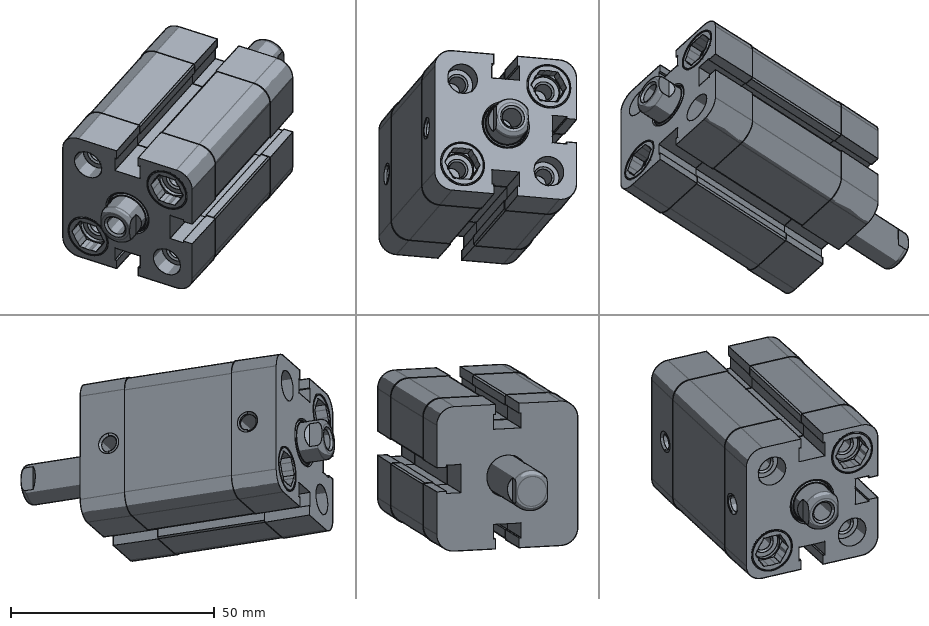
import cadquery as cq
import math


rod_length = 80.1
front_protrusion = 6.3
cap_length = 11.85
barrel_length = 28.4
front_tip = -rod_length / 2
front_face = front_tip + front_protrusion
barrel_front = front_face + cap_length
barrel_rear = barrel_front + barrel_length
rear_face = barrel_rear + cap_length

cap_joint_width = 36.3
cap_end_width = 36.05
cap_flat_width = 27.2
barrel_width = 36.05
barrel_corner_radius = 4.6

cap_slot_floor = 11.85
barrel_slot_floor = 12.0
slot_lip = 15.5
slot_undercut_width = 7.05
cap_slot_mouth = 6.0
barrel_slot_mouth = 5.7
barrel_mouth_bevel = 0.4
slot_angles = (0, 90, 180)

rod_diameter = 10.0
tip_fillet = 1.3
wrench_flat_width = 8.0
wrench_flat_length = 3.3
flat_runout = (rod_diameter - wrench_flat_width) / 2
rod_thread_diameter = 4.9
rod_thread_mouth = 6.0
rod_thread_depth = 9.6

rod_bore = 10.5
wiper_diameter = 11.4
wiper_length = 2.4
lip_diameter = 11.1
lip_face_diameter = 10.5
lip_height = (lip_diameter - lip_face_diameter) / 2
wiper_mouth = 12.0

port_diameter = 4.2
port_mouth = 5.4
port_inset = 7.6

corner_offset = 11.0
corner_bore = 7.5
corner_bore_depth = 4.5
thread_diameter = 4.2
thread_mouth = 5.1
thread_end_depth = 10.4
plain_corners = ((-1, 1), (1, -1))
screw_corners = ((-1, -1), (1, 1))

groove_diameter = 11.1
head_diameter = 10.5
socket_width = 7.8
socket_diameter = 8.0
socket_depth = 3.45
hexagon_diameter = socket_width / math.cos(math.pi / 6)


def section_at(y):
    """Sketch plane across the rod axis with local axes X and Z; it extrudes towards -Y."""
    return cq.Workplane("XZ", origin=(0, y, 0))


def disc(diameter, y_start, length, x=0.0, z=0.0):
    """Cylinder along Y running from y_start towards +Y."""
    return section_at(y_start).center(x, z).circle(diameter / 2).extrude(-length)


def cone(start_diameter, end_diameter, y, x=0.0, z=0.0):
    """45 degree cone along Y that starts at y and runs towards +Y."""
    height = abs(start_diameter - end_diameter) / 2
    start = cq.Vector(x, y, z)
    solid = cq.Solid.makeCone(start_diameter / 2, end_diameter / 2, height, start, cq.Vector(0, 1, 0))
    return cq.Workplane(obj=solid)


def rounded_square(width, corner_radius):
    """Sketch of a square with rounded corners."""
    return cq.Sketch().rect(width, width).vertices().fillet(corner_radius)


def slot_box(width, floor, top, y_start, length):
    """Block above the rod between the heights floor and top."""
    base = cq.Workplane("XY", origin=(0, y_start + length / 2, floor))
    return base.box(width, length, top - floor, centered=(True, True, False))


def cut_on_slot_sides(block, cutter):
    """Cut the same shape from the top, +X and bottom sides."""
    for angle in slot_angles:
        block = block.cut(cutter.rotate((0, 0, 0), (0, 1, 0), angle))
    return block


def cut_slots(block, floor, mouth_width, y_start, length):
    """Cut the three T-slots along a block."""
    slot = slot_box(mouth_width, floor, cap_joint_width / 2, y_start, length)
    slot = slot.union(slot_box(slot_undercut_width, floor, slot_lip, y_start, length))
    return cut_on_slot_sides(block, slot)


def drafted_cap():
    """Cap at the front: drafted block with slots, air port and rod passage."""
    end_section = rounded_square(cap_end_width, (cap_end_width - cap_flat_width) / 2)
    joint_section = rounded_square(cap_joint_width, (cap_joint_width - cap_flat_width) / 2)
    joint_section = joint_section.moved(cq.Location(cq.Vector(0, 0, -cap_length)))
    cap = section_at(front_face).placeSketch(end_section, joint_section).loft()
    cap = cut_slots(cap, cap_slot_floor, cap_slot_mouth, front_face, cap_length)
    cap = cap.cut(disc(rod_bore, front_face, cap_length))
    return cap.cut(air_port())


def air_port():
    """Port hole from the -X side, flat-bottomed at the rod, with a chamfered mouth."""
    port_y = front_face + port_inset
    outer_x = -cap_joint_width / 2
    draft = (cap_joint_width - cap_end_width) / 2
    side_x = outer_x + draft * (1 - port_inset / cap_length)
    hole = cq.Workplane("YZ", origin=(outer_x, port_y, 0)).circle(port_diameter / 2)
    hole = hole.extrude(-outer_x - rod_diameter / 2)
    depth = (port_mouth - port_diameter) / 2
    mouth_centre = cq.Vector(side_x, port_y, 0)
    mouth = cq.Solid.makeCone(port_mouth / 2, port_diameter / 2, depth, mouth_centre, cq.Vector(1, 0, 0))
    return hole.union(cq.Workplane(obj=mouth))


def threaded_corner_hole(x, z):
    """Stepped blind hole with a chamfered thread at its foot."""
    thread_start = front_face + corner_bore_depth
    hole = disc(corner_bore, front_face, corner_bore_depth, x, z)
    hole = hole.union(disc(thread_diameter, thread_start, thread_end_depth - corner_bore_depth, x, z))
    return hole.union(cone(thread_mouth, thread_diameter, thread_start, x, z))


def screw_head_groove(x, z):
    """Bevelled groove around a screw head that is flush with the cap face."""
    depth = (groove_diameter - head_diameter) / 2
    head = cone(head_diameter, groove_diameter, front_face, x, z)
    return disc(groove_diameter, front_face, depth, x, z).cut(head)


def screw_socket(x, z):
    """Hexagon socket whose flats are relieved by a round bore."""
    hexagon = section_at(front_face).center(x, z).polygon(6, hexagon_diameter).extrude(-socket_depth)
    return hexagon.union(disc(socket_diameter, front_face, socket_depth, x, z))


def make_front_cap():
    cap = drafted_cap()
    for side_x, side_z in plain_corners + screw_corners:
        cap = cap.cut(threaded_corner_hole(side_x * corner_offset, side_z * corner_offset))
    for side_x, side_z in screw_corners:
        x = side_x * corner_offset
        z = side_z * corner_offset
        cap = cap.cut(screw_head_groove(x, z)).cut(screw_socket(x, z))
    cap = cap.cut(disc(wiper_diameter, front_face, wiper_length))
    return cap.cut(cone(wiper_mouth, wiper_diameter, front_face))


def make_rear_cap():
    """The drafted cap mirrored to the other end of the barrel."""
    middle = (front_face + rear_face) / 2
    return drafted_cap().mirror("XZ", (0, middle, 0))


def mouth_bevel():
    """Wedge that bevels both outer edges of the top slot in the barrel."""
    top = barrel_width / 2
    half_mouth = barrel_slot_mouth / 2
    half_top = half_mouth + barrel_mouth_bevel
    outline = [(-half_top, top), (half_top, top)]
    outline += [(half_mouth, top - barrel_mouth_bevel), (-half_mouth, top - barrel_mouth_bevel)]
    return section_at(barrel_front).polyline(outline).close().extrude(-barrel_length)


def make_barrel():
    outline = rounded_square(barrel_width, barrel_corner_radius)
    barrel = section_at(barrel_front).placeSketch(outline).extrude(-barrel_length)
    barrel = cut_slots(barrel, barrel_slot_floor, barrel_slot_mouth, barrel_front, barrel_length)
    barrel = cut_on_slot_sides(barrel, mouth_bevel())
    return barrel.cut(disc(rod_diameter, barrel_front, barrel_length))


def make_wiper():
    """Ring between the front cap and the rod, with a conical lip flush with the cap face."""
    ring = disc(wiper_diameter, front_face + lip_height, wiper_length - lip_height)
    ring = ring.union(cone(lip_face_diameter, lip_diameter, front_face))
    return ring.cut(disc(rod_diameter, front_face, wiper_length))


def wrench_flat():
    """Cutter for one flat on the -X side of the front tip, with a 45 degree runout."""
    flat_x = -wrench_flat_width / 2
    flat_end = front_tip + wrench_flat_length
    return (
        cq.Workplane("XY", origin=(0, 0, -rod_diameter / 2))
        .moveTo(flat_x, front_tip)
        .lineTo(flat_x, flat_end)
        .lineTo(flat_x - flat_runout, flat_end + flat_runout)
        .lineTo(flat_x - flat_runout, front_tip)
        .close()
        .extrude(rod_diameter)
    )


def make_rod():
    rod = disc(rod_diameter, front_tip, rod_length).edges().fillet(tip_fillet)
    flat = wrench_flat()
    flats = flat.union(flat.mirror("YZ"))
    rod = rod.cut(flats).cut(flats.mirror("XZ"))
    rod = rod.cut(disc(rod_thread_diameter, front_tip, rod_thread_depth))
    return rod.cut(cone(rod_thread_mouth, rod_thread_diameter, front_tip))


front_cap = make_front_cap()
rear_cap = make_rear_cap()
barrel = make_barrel()
wiper = make_wiper()
rod = make_rod()

result = cq.Compound.makeCompound(
    [front_cap.val(), rear_cap.val(), barrel.val(), wiper.val(), rod.val()]
)